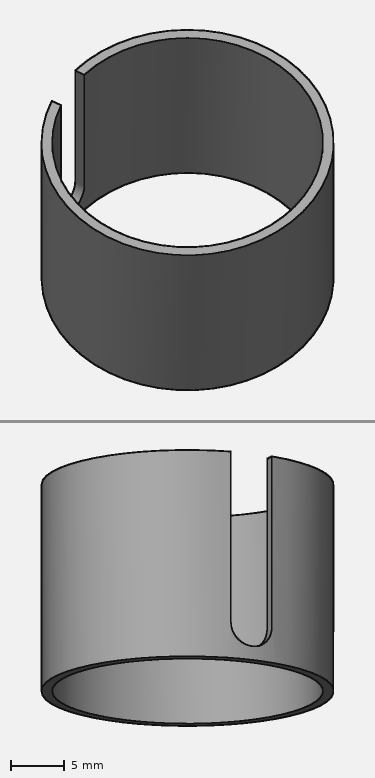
import cadquery as cq

outer_diameter = 27.5
inner_diameter = 25.5
height = 20.0

slot_width = 4.3
slot_floor = 1.32
slot_radius = slot_width / 2
slot_arc_center = slot_floor + slot_radius


def make_sleeve():
    """Plain tube standing on the XY plane."""
    return (
        cq.Workplane("XY")
        .circle(outer_diameter / 2)
        .circle(inner_diameter / 2)
        .extrude(height)
    )


def make_slot_cutter():
    """U-shaped prism running from the axis out through the -X wall."""
    return (
        cq.Workplane("YZ")
        .moveTo(-slot_radius, height)
        .lineTo(-slot_radius, slot_arc_center)
        .threePointArc((0, slot_floor), (slot_radius, slot_arc_center))
        .lineTo(slot_radius, height)
        .close()
        .extrude(-outer_diameter)
    )


result = make_sleeve().cut(make_slot_cutter())